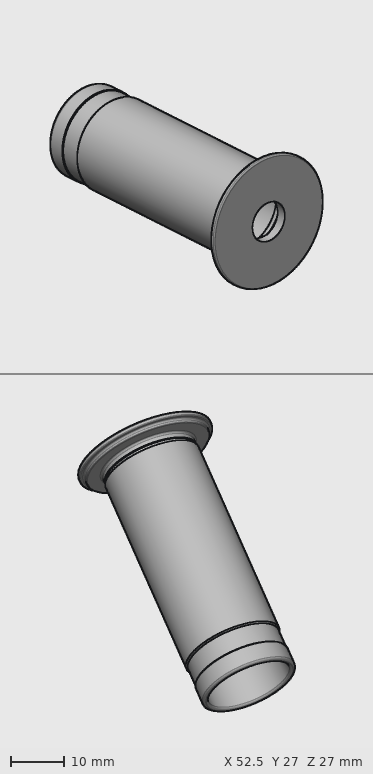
import cadquery as cq
import math

length = 52.5
flange_diameter = 27.0

nose_diameter = 18.85
nose_end = 3.85
nose_step_length = 0.15
groove_diameter = 18.55
groove_end = 8.0
groove_chamfer_length = 0.3
body_diameter = 19.05
body_end = 48.5
undercut_diameter = 18.55
undercut_position = 49.15
neck_start = 49.3
neck_diameter = 18.65

disc_diameter = 25.0
disc_front = 50.6
disc_edge_radius = 0.15
disc_root_radius = 0.4
neck_root_radius = 0.4
rim_front = 51.55
rim_front_edge_radius = 0.2
rim_back_edge_radius = 0.25

bore_diameter = 16.5
lip_edge_radius = 0.5
throat_diameter = 15.0
throat_length = 1.05
outlet_diameter = 8.0
outlet_length = 2.1

DIAGONAL = math.sqrt(0.5)


def round_corner(profile, end, center, direction):
    """Add a quarter arc that bulges from its center towards direction, given as signs of X and radius."""
    radius = max(abs(end[0] - center[0]), abs(end[1] - center[1]))
    middle = (
        center[0] + direction[0] * radius * DIAGONAL,
        center[1] + direction[1] * radius * DIAGONAL,
    )
    return profile.threePointArc(middle, end)


def add_tube_outside(profile):
    """Lip, nose, groove, body and neck, ending where the neck meets its root fillet."""
    nose = nose_diameter / 2
    groove = groove_diameter / 2
    body = body_diameter / 2
    neck = neck_diameter / 2
    profile = round_corner(profile, (lip_edge_radius, nose), (lip_edge_radius, nose - lip_edge_radius), (-1, 1))
    return (
        profile.lineTo(nose_end, nose)
        .lineTo(nose_end + nose_step_length, groove)
        .lineTo(groove_end, groove)
        .lineTo(groove_end + groove_chamfer_length, body)
        .lineTo(body_end, body)
        .lineTo(undercut_position, undercut_diameter / 2)
        .lineTo(neck_start, neck)
        .lineTo(disc_front - neck_root_radius, neck)
    )


def add_flange(profile):
    """Neck root fillet, raised disc with rounded edge, disc root fillet and rounded rim."""
    neck = neck_diameter / 2
    disc = disc_diameter / 2
    rim = flange_diameter / 2
    root = neck + neck_root_radius
    profile = round_corner(profile, (disc_front, root), (disc_front - neck_root_radius, root), (1, -1))
    profile = profile.lineTo(disc_front, disc - disc_edge_radius)
    edge = disc_front + disc_edge_radius
    profile = round_corner(profile, (edge, disc), (edge, disc - disc_edge_radius), (-1, 1))
    root_start = rim_front - disc_root_radius
    root = disc + disc_root_radius
    profile = profile.lineTo(root_start, disc)
    profile = round_corner(profile, (rim_front, root), (root_start, root), (1, -1))
    edge_center = rim - rim_front_edge_radius
    profile = profile.lineTo(rim_front, edge_center)
    edge = rim_front + rim_front_edge_radius
    profile = round_corner(profile, (edge, rim), (edge, edge_center), (-1, 1))
    edge_center = rim - rim_back_edge_radius
    edge = length - rim_back_edge_radius
    profile = profile.lineTo(edge, rim)
    return round_corner(profile, (length, edge_center), (edge, edge_center), (1, 1))


def add_inside(profile):
    """Outlet, 45-degree funnel, throat, 45-degree step and bore, ending at the lip of the open end."""
    outlet = outlet_diameter / 2
    throat = throat_diameter / 2
    bore = bore_diameter / 2
    outlet_start = length - outlet_length
    funnel_start = outlet_start - (throat - outlet)
    throat_start = funnel_start - throat_length
    bore_end = throat_start - (bore - throat)
    profile = (
        profile.lineTo(length, outlet)
        .lineTo(outlet_start, outlet)
        .lineTo(funnel_start, throat)
        .lineTo(throat_start, throat)
        .lineTo(bore_end, bore)
        .lineTo(lip_edge_radius, bore)
    )
    lip_center = bore + lip_edge_radius
    return round_corner(profile, (0, lip_center), (lip_edge_radius, lip_center), (-1, -1))


profile = cq.Workplane("XY").moveTo(0, nose_diameter / 2 - lip_edge_radius)
profile = add_tube_outside(profile)
profile = add_flange(profile)
profile = add_inside(profile)
result = profile.close().revolve(360, (0, 0, 0), (1, 0, 0))